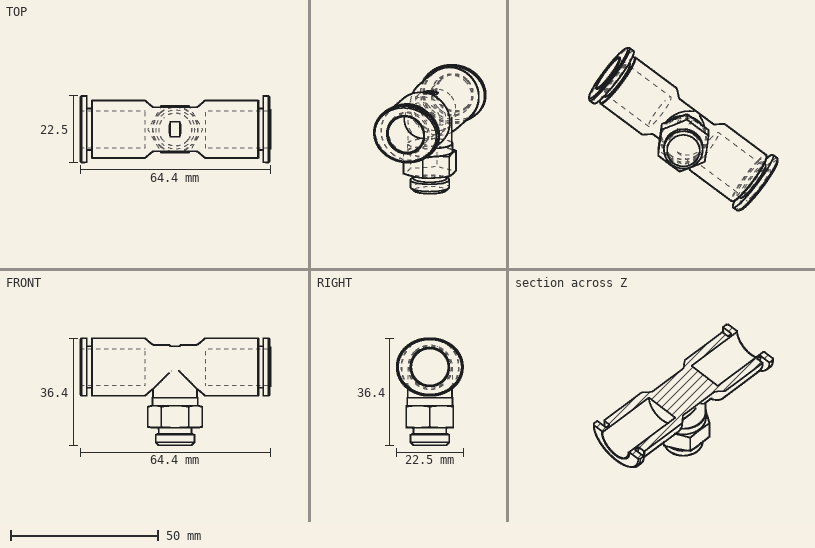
import cadquery as cq
import math

neck_radius = 7.5
sleeve_radius = 9.8
sleeve_end_x = 28.25
sleeve_shoulder_x = 10.2
neck_end_x = 7.5
shoulder_fillet = 1.0
sleeve_edge_break = 0.2

collar_face_x = 32.1
collar_thickness = 2.3
collar_width_y = 22.5
collar_height_z = 2 * sleeve_radius
collar_edge_chamfer = 0.5
collar_neck_radius = 7.1

socket_radius = 6.25
socket_mouth_radius = 6.6
socket_mouth_chamfer = socket_mouth_radius - socket_radius
socket_bottom_x = sleeve_shoulder_x
lip_end_x = 32.3

notch_length = 3.1
notch_depth = 0.45

stem_step_z = -10.35
stem_collar_radius = 7.7
hex_top_z = -13.1
hex_bottom_z = -20.5
hex_across_flats = 16.0
hex_corner_radius = hex_across_flats / math.sqrt(3)
hex_top_chamfer_drop = 0.35
hex_bottom_chamfer_drop = 0.22

groove_radius = 5.6
groove_fillet = 0.5
thread_radius = 6.58
thread_top_z = -23.0
thread_lead_in = 0.5
thread_bottom_z = -26.55
thread_chamfer = 1.05


def make_half_run():
    """Sleeve, shoulder and neck on the +X side, revolved about X."""
    half = (
        cq.Workplane("XY")
        .moveTo(0, 0)
        .lineTo(0, neck_radius)
        .lineTo(neck_end_x, neck_radius)
        .lineTo(sleeve_shoulder_x, sleeve_radius)
        .lineTo(sleeve_end_x, sleeve_radius)
        .lineTo(sleeve_end_x, 0)
        .close()
        .revolve(360, (0, 0, 0), (1, 0, 0))
    )
    half = half.faces(">X").edges().chamfer(sleeve_edge_break)
    middle_of_neck = (neck_end_x / 2, -sleeve_radius, -sleeve_radius)
    middle_of_sleeve = ((sleeve_shoulder_x + sleeve_end_x) / 2, sleeve_radius, sleeve_radius)
    shoulder = cq.selectors.BoxSelector(middle_of_neck, middle_of_sleeve)
    return half.edges("%CIRCLE").edges(shoulder).fillet(shoulder_fillet)


def make_collar():
    """Oval release collar and its round neck on the +X side."""
    collar_inner_x = collar_face_x - collar_thickness
    oval = (
        cq.Workplane("YZ", origin=(collar_inner_x, 0, 0))
        .ellipse(collar_width_y / 2, collar_height_z / 2)
        .extrude(collar_thickness)
        .faces(">X")
        .edges()
        .chamfer(collar_edge_chamfer)
    )
    neck = (
        cq.Workplane("YZ", origin=(sleeve_shoulder_x, 0, 0))
        .circle(collar_neck_radius)
        .extrude(collar_inner_x - sleeve_shoulder_x)
    )
    return oval.union(neck)


def make_lip():
    """Thin raised rim around the mouth of the +X socket."""
    return (
        cq.Workplane("YZ", origin=(collar_face_x - collar_thickness, 0, 0))
        .circle(socket_mouth_radius)
        .extrude(lip_end_x - collar_face_x + collar_thickness)
    )


def make_socket(mouth_x):
    """Blind tube socket on the +X side, open at mouth_x."""
    return (
        cq.Workplane("YZ", origin=(socket_bottom_x, 0, 0))
        .circle(socket_radius)
        .extrude(mouth_x - socket_bottom_x)
    )


def make_mouth_chamfer():
    """Cone that bevels the edge of a +X socket at the collar face."""
    return (
        cq.Workplane("YZ", origin=(collar_face_x, 0, 0))
        .circle(socket_mouth_radius)
        .workplane(offset=-socket_mouth_chamfer)
        .circle(socket_radius)
        .loft()
    )


def make_notch():
    """Cutter with 45 degree end walls for the notch on top of the neck."""
    half_length = notch_length / 2
    floor_z = neck_radius - notch_depth
    cut_height = 2 * notch_depth
    return (
        cq.Workplane("XZ")
        .moveTo(-half_length, floor_z)
        .lineTo(half_length, floor_z)
        .lineTo(half_length + cut_height, floor_z + cut_height)
        .lineTo(-half_length - cut_height, floor_z + cut_height)
        .close()
        .extrude(neck_radius, both=True)
    )


def make_stem():
    """Round parts of the branch, revolved about Z."""
    return (
        cq.Workplane("XZ")
        .moveTo(0, 0)
        .lineTo(neck_radius, 0)
        .lineTo(neck_radius, stem_step_z)
        .lineTo(stem_collar_radius, stem_step_z)
        .lineTo(stem_collar_radius, hex_bottom_z)
        .lineTo(groove_radius + groove_fillet, hex_bottom_z)
        .radiusArc((groove_radius, hex_bottom_z - groove_fillet), -groove_fillet)
        .lineTo(groove_radius, thread_top_z + thread_lead_in)
        .lineTo(thread_radius, thread_top_z)
        .lineTo(thread_radius, thread_bottom_z + thread_chamfer)
        .lineTo(thread_radius - thread_chamfer, thread_bottom_z)
        .lineTo(0, thread_bottom_z)
        .close()
        .revolve(360, (0, 0, 0), (0, 1, 0))
    )


def make_hexagon():
    """Wrench hexagon with corners on the X axis, its corners turned off top and bottom."""
    prism = (
        cq.Workplane("XY", origin=(0, 0, hex_bottom_z))
        .polygon(6, 2 * hex_corner_radius)
        .extrude(hex_top_z - hex_bottom_z)
    )
    flat_radius = hex_across_flats / 2
    turned_blank = (
        cq.Workplane("XZ")
        .moveTo(0, hex_top_z)
        .lineTo(flat_radius, hex_top_z)
        .lineTo(hex_corner_radius, hex_top_z - hex_top_chamfer_drop)
        .lineTo(hex_corner_radius, hex_bottom_z + hex_bottom_chamfer_drop)
        .lineTo(flat_radius, hex_bottom_z)
        .lineTo(0, hex_bottom_z)
        .close()
        .revolve(360, (0, 0, 0), (0, 1, 0))
    )
    return prism.intersect(turned_blank)


half_run = make_half_run().union(make_collar())
plus_half = half_run.union(make_lip()).cut(make_socket(lip_end_x))
minus_half = half_run.cut(make_socket(collar_face_x)).cut(make_mouth_chamfer()).mirror("YZ")

result = (
    plus_half.union(minus_half)
    .union(make_stem())
    .union(make_hexagon())
    .cut(make_notch())
)